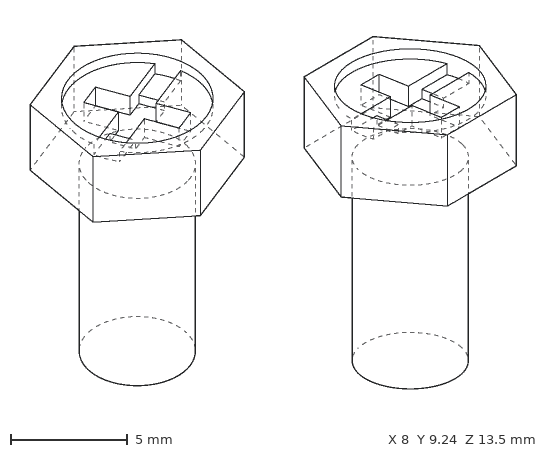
import cadquery as cq
import math

total_height = 13.5
head_height = 3.5
across_flats = 8.0
shank_diameter = 5.0

dish_diameter = 6.5
dish_depth = 0.5
slot_width = 1.22
cross_length_x = 4.48
cross_length_y = 3.02
cross_depth = 1.0
shallow_slot_depth = 0.54

shank_length = total_height - head_height
dish_floor = total_height - dish_depth
across_corners = across_flats / math.cos(math.radians(30))


def make_blank():
    """Hexagonal head, corners along Y, on a plain cylindrical shank."""
    shank = cq.Workplane("XY").circle(shank_diameter / 2).extrude(shank_length)
    head = (
        cq.Workplane("XY")
        .workplane(offset=shank_length)
        .transformed(rotate=(0, 0, 90))
        .polygon(6, across_corners)
        .extrude(head_height)
    )
    return shank.union(head)


def cut_from_dish_floor(length_x, length_y, depth):
    """Rectangular cutter sunk below the dish floor."""
    return (
        cq.Workplane("XY")
        .workplane(offset=dish_floor)
        .rect(length_x, length_y)
        .extrude(-depth)
    )


def make_dish():
    """Round shallow recess in the head top."""
    return (
        cq.Workplane("XY")
        .workplane(offset=dish_floor)
        .circle(dish_diameter / 2)
        .extrude(dish_depth)
    )


def make_shallow_slot():
    """Slot along Y whose ends follow the dish wall."""
    dish_column = (
        cq.Workplane("XY")
        .workplane(offset=dish_floor)
        .circle(dish_diameter / 2)
        .extrude(-shallow_slot_depth)
    )
    return dish_column.intersect(
        cut_from_dish_floor(slot_width, dish_diameter, shallow_slot_depth)
    )


result = (
    make_blank()
    .cut(make_dish())
    .cut(make_shallow_slot())
    .cut(cut_from_dish_floor(cross_length_x, slot_width, cross_depth))
    .cut(cut_from_dish_floor(slot_width, cross_length_y, cross_depth))
)